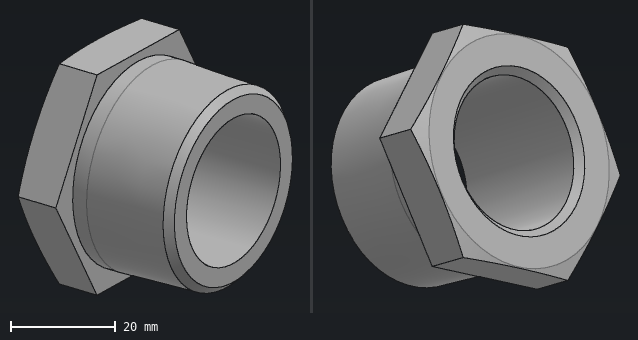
import cadquery as cq
import math

length = 32.5
head_length = 10.0
across_corners = 53.1

head_face_diameter = 45.65
head_chamfer_depth = 1.0

spigot_diameter = 42.3
cylinder_length = 3.3
taper_on_diameter = 1 / 16
end_chamfer = 1.55

bore_diameter = 30.3
countersink_diameter = 33.25
countersink_depth = (countersink_diameter - bore_diameter) / 2


def revolve_about_x(points):
    """Revolve a closed (x, radius) outline about the X axis."""
    return cq.Workplane("XZ").polyline(points).close().revolve(360, (0, 0, 0), (1, 0, 0))


def hexagon_head():
    """Hexagon with corners on Y, trimmed by a cone at its outer face."""
    corner_radius = across_corners / 2
    hexagon = cq.Workplane("YZ").polygon(6, across_corners).extrude(head_length)
    trimming_body = revolve_about_x([
        (0, 0),
        (0, head_face_diameter / 2),
        (head_chamfer_depth, corner_radius),
        (head_length, corner_radius),
        (head_length, 0),
    ])
    return hexagon.intersect(trimming_body)


def tapered_spigot():
    """Spigot behind the head, narrowing towards the chamfered end."""
    spigot_radius = spigot_diameter / 2
    taper_start = head_length + cylinder_length
    taper_end = length - end_chamfer
    taper_end_radius = spigot_radius - (taper_end - taper_start) * taper_on_diameter / 2
    return revolve_about_x([
        (0, 0),
        (0, spigot_radius),
        (taper_start, spigot_radius),
        (taper_end, taper_end_radius),
        (length, taper_end_radius - end_chamfer),
        (length, 0),
    ])


def bore():
    """Through bore, including the countersink."""
    bore_radius = bore_diameter / 2
    return revolve_about_x([
        (0, 0),
        (0, countersink_diameter / 2),
        (countersink_depth, bore_radius),
        (length, bore_radius),
        (length, 0),
    ])


result = hexagon_head().union(tapered_spigot()).cut(bore())